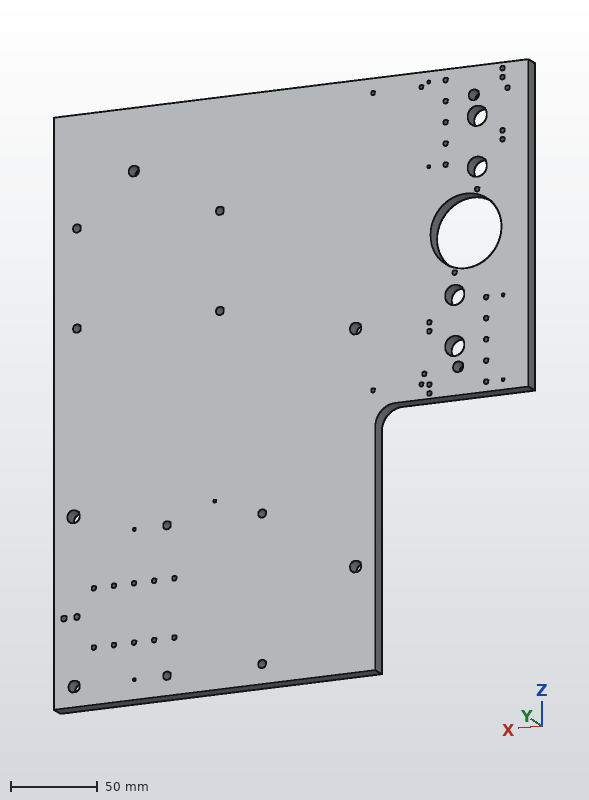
import cadquery as cq

plate_width = 299.8
plate_height = 355.5
plate_thickness = 9.5

notch_width = 96.7
notch_height = 159.0
notch_radius = 12.8

bore_diameter = 44.8
large_diameter = 12.0
right_edge_diameter = 8.0
clearance_diameter = 7.0
locating_diameter = 6.5
mounting_diameter = 5.0
pair_diameter = 3.5
screw_diameter = 3.0
terminal_diameter = 3.0
corner_diameter = 2.5
pin_diameter = 1.8

bore_x = 39.5
bore_z = 257.0
large_offset_x = -7.0
large_offsets_z = (37.7, 68.3)
locating_offset = (-5.0, 81.0)
bore_edge_offset = (large_offset_x, 24.2)
screw_offset_x = -23.0
screw_offsets_z = (52.3, 57.5, 89.5, 95.0)
side_screw_offset = (-26.3, 83.0)

terminal_count = 5
terminal_span = 51.0
terminal_pitch = terminal_span / (terminal_count - 1)
terminal_row_offset = (12.8, 41.2)
pin_offset_x = 23.5

corner_left = 67.5
corner_bottom = 168.2
corner_width = 30.5
corner_height = 178.5

footprint_long = 90.5
footprint_short = 60.0
upper_footprint_left = 195.0
upper_footprint_bottom = 227.2
lower_footprint_left = 168.2
lower_footprint_bottom = 12.0

clearance_left_x = 109.0
clearance_left_z = (63.5, 206.5)
clearance_lower = (287.0, 12.5)
right_edge_hole = (287.5, 114.5)
top_hole = (249.3, 317.5)

block_left = 223.5
block_bottom = 34.5
block_height = 35.5
block_pin_x = 249.0
lone_pin = (198.0, 113.5)
pair_x = (285.2, 293.5)
pair_z = 54.0


def rectangle_corners(left, bottom, width, height):
    """Four corner points of an upright rectangle."""
    return [(x, z) for x in (left, left + width) for z in (bottom, bottom + height)]


def around_bore(offsets):
    """Points at the offsets from the bore axis, and again half a turn around it."""
    return [(bore_x + side * dx, bore_z + side * dz) for side in (1, -1) for dx, dz in offsets]


def drill(plate, points, diameter):
    """Cut round through holes at the points."""
    tools = cq.Workplane("XZ").pushPoints(points).circle(diameter / 2).extrude(-plate_thickness)
    return plate.cut(tools)


def make_blank():
    """L-shaped plate with a rounded inner corner."""
    return (
        cq.Workplane("XZ")
        .moveTo(notch_width, 0)
        .lineTo(plate_width, 0)
        .lineTo(plate_width, plate_height)
        .lineTo(0, plate_height)
        .lineTo(0, notch_height)
        .lineTo(notch_width - notch_radius, notch_height)
        .radiusArc((notch_width, notch_height - notch_radius), notch_radius)
        .close()
        .extrude(-plate_thickness)
    )


def drill_bore_clusters(plate):
    """Bore and the two clusters around it."""
    row_x, row_z = terminal_row_offset
    large = [(large_offset_x, dz) for dz in large_offsets_z]
    screws = [(screw_offset_x, dz) for dz in screw_offsets_z]
    screws += [side_screw_offset, bore_edge_offset]
    terminals = [(row_x, row_z + i * terminal_pitch) for i in range(terminal_count)]
    pins = [(pin_offset_x, row_z), (pin_offset_x, row_z + terminal_span)]
    plate = drill(plate, [(bore_x, bore_z)], bore_diameter)
    plate = drill(plate, around_bore(large), large_diameter)
    plate = drill(plate, around_bore([locating_offset]), locating_diameter)
    plate = drill(plate, around_bore(screws), screw_diameter)
    plate = drill(plate, around_bore(terminals), terminal_diameter)
    plate = drill(plate, around_bore(pins), pin_diameter)
    corners = rectangle_corners(corner_left, corner_bottom, corner_width, corner_height)
    return drill(plate, corners, corner_diameter)


def drill_mounting_holes(plate):
    """Four-hole footprints, clearance holes and the two single holes on the right."""
    upper = rectangle_corners(
        upper_footprint_left, upper_footprint_bottom, footprint_long, footprint_short
    )
    lower = rectangle_corners(
        lower_footprint_left, lower_footprint_bottom, footprint_short, footprint_long
    )
    clearance = [(clearance_left_x, z) for z in clearance_left_z]
    clearance.append(clearance_lower)
    plate = drill(plate, [top_hole], locating_diameter)
    plate = drill(plate, [right_edge_hole], right_edge_diameter)
    plate = drill(plate, upper + lower, mounting_diameter)
    return drill(plate, clearance, clearance_diameter)


def drill_terminal_block(plate):
    """Two rows of terminal holes with the pins and the hole pair beside them."""
    terminals = [
        (block_left + i * terminal_pitch, z)
        for i in range(terminal_count)
        for z in (block_bottom, block_bottom + block_height)
    ]
    pins = [(block_pin_x, lower_footprint_bottom + dz) for dz in (0, footprint_long)]
    pins.append(lone_pin)
    plate = drill(plate, terminals, terminal_diameter)
    plate = drill(plate, pins, pin_diameter)
    return drill(plate, [(x, pair_z) for x in pair_x], pair_diameter)


result = drill_terminal_block(drill_mounting_holes(drill_bore_clusters(make_blank())))